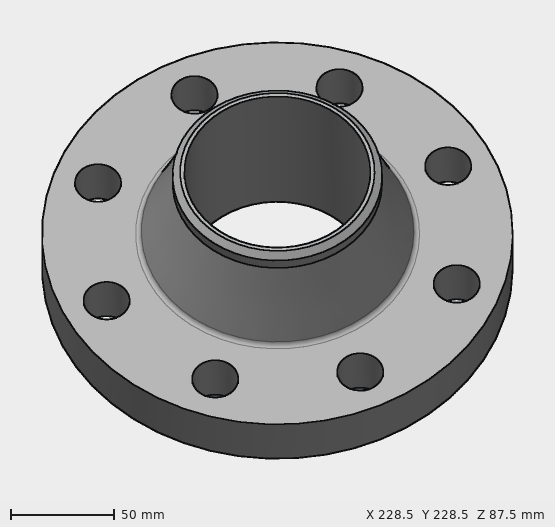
import cadquery as cq
import math

flange_diameter = 228.5
flange_thickness = 28.5
face_diameter = 158.8
face_height = 8.0
total_height = 87.5
bore_diameter = 90.3

collar_diameter = 101.7
collar_height = 6.2
bevel_height = 3.0
land_width = 2.0
hub_base_diameter = 133.7
hub_fillet_radius = 3.0

bolt_circle_diameter = 184.2
bolt_hole_diameter = 22.5
bolt_hole_count = 8

flange_radius = flange_diameter / 2
face_radius = face_diameter / 2
bore_radius = bore_diameter / 2
collar_radius = collar_diameter / 2
hub_base_radius = hub_base_diameter / 2
land_radius = bore_radius + land_width
flange_top = face_height + flange_thickness
bevel_bottom = total_height - bevel_height
collar_bottom = bevel_bottom - collar_height

cone_angle = math.atan2(collar_bottom - flange_top, hub_base_radius - collar_radius)
tangent_length = hub_fillet_radius * math.tan(cone_angle / 2)
fillet_outer_radius = hub_base_radius + tangent_length
fillet_top_radius = hub_base_radius - tangent_length * math.cos(cone_angle)
fillet_top = flange_top + tangent_length * math.sin(cone_angle)
fillet_middle_radius = fillet_outer_radius - hub_fillet_radius * math.sin(cone_angle / 2)
fillet_middle = flange_top + hub_fillet_radius * (1 - math.cos(cone_angle / 2))


def flange_body():
    """Revolve half of the cross-section, bore wall to rim, around Z."""
    section = (
        cq.Workplane("XZ")
        .moveTo(bore_radius, 0)
        .lineTo(face_radius, 0)
        .lineTo(face_radius, face_height)
        .lineTo(flange_radius, face_height)
        .lineTo(flange_radius, flange_top)
        .lineTo(fillet_outer_radius, flange_top)
        .threePointArc((fillet_middle_radius, fillet_middle), (fillet_top_radius, fillet_top))
        .lineTo(collar_radius, collar_bottom)
        .lineTo(collar_radius, bevel_bottom)
        .lineTo(land_radius, total_height)
        .lineTo(bore_radius, total_height)
        .close()
    )
    return section.revolve(360, (0, 0, 0), (0, 1, 0))


def bolt_holes():
    """Through-hole cutters evenly spaced on the bolt circle, the first on +X."""
    return (
        cq.Workplane("XY")
        .polarArray(bolt_circle_diameter / 2, 0, 360, bolt_hole_count)
        .circle(bolt_hole_diameter / 2)
        .extrude(flange_top)
    )


result = flange_body().cut(bolt_holes())